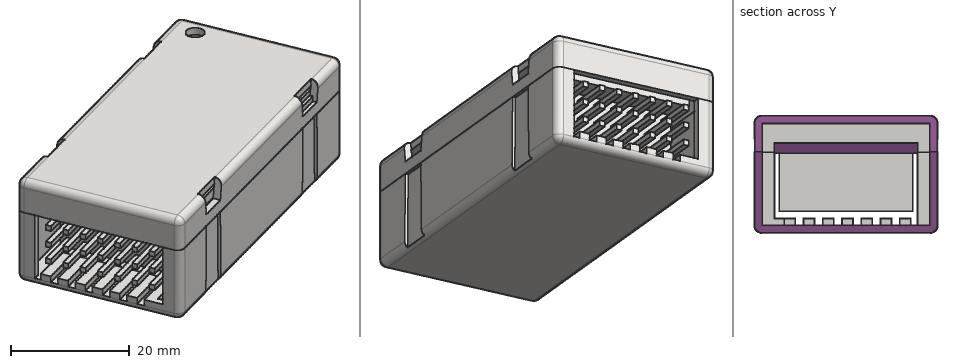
import cadquery as cq

LENGTH = 61.15
WIDTH = 30.9
HEIGHT = 19.8
WALL = 1.35
EDGE_RADIUS = WALL
PARTING_Z = 13.65
INNER_WIDTH = WIDTH - 2 * WALL
INNER_LENGTH = LENGTH - 2 * WALL
FRONT_Y = -LENGTH / 2

STATION_Y = 18.3
STATION_WIDTH = 5.25
WINDOW_TOP_WIDTH = 6.35
WINDOW_SILL_Z = 15.9
GROOVE_BOTTOM_WIDTH = 5.75
GROOVE_DEPTH = 0.55

STOP_HEIGHT = 1.0
STOP_THICKNESS = 0.6

HOLE_DIAMETER = 3.25
HOLE_X = -10.3
HOLE_Y = 26.65

BOARD_WIDTH = 24.2
BOARD_LENGTH = 54.55
BOARD_BOTTOM_Z = 13.45
BOARD_THICKNESS = 1.8

COLUMNS = 7
ROWS = 3
PITCH = 3.25
PIN_SIZE = 1.0
PIN_TIP_GAP = 0.3
MIDDLE_ROW_Z = 8.4
COLUMN_SHIFT_X = 0.1
HEADER_WIDTH = 22.5
HEADER_BOTTOM_Z = 3.65
HEADER_DEPTH = 6.1
HEADER_FRONT_Y = -22.5

OPENING_WIDTH = 24.05
SILL_Z = 2.5
RIB_WIDTH = 1.9
RIB_SHIFT_X = -0.35

COLUMN_XS = [COLUMN_SHIFT_X + (i - (COLUMNS - 1) / 2) * PITCH for i in range(COLUMNS)]
ROW_ZS = [MIDDLE_ROW_Z + (i - (ROWS - 1) / 2) * PITCH for i in range(ROWS)]


def block(x_min, x_max, y_min, y_max, z_min, z_max):
    """Axis-aligned block given by its limits."""
    size = (x_max - x_min, y_max - y_min, z_max - z_min)
    return cq.Workplane("XY").box(*size, centered=False).translate((x_min, y_min, z_min))


def shell_part(z_min, z_max):
    """Slice of the hollow rounded enclosure between two heights."""
    outer = cq.Workplane("XY").box(WIDTH, LENGTH, HEIGHT, centered=(True, True, False))
    outer = outer.edges().fillet(EDGE_RADIUS)
    cavity = block(-INNER_WIDTH / 2, INNER_WIDTH / 2, -INNER_LENGTH / 2, INNER_LENGTH / 2,
                   WALL, HEIGHT - WALL)
    slab = block(-WIDTH, WIDTH, -LENGTH, LENGTH, z_min, z_max)
    return outer.cut(cavity).intersect(slab)


def side_cutter(side, y, depth, z_bottom, bottom_width, z_top, top_width):
    """Tapered cutter that enters one long side (side = -1 or +1) by the given depth."""
    outline = [
        (y - bottom_width / 2, z_bottom),
        (y + bottom_width / 2, z_bottom),
        (y + top_width / 2, z_top),
        (y - top_width / 2, z_top),
    ]
    start_x = WIDTH / 2 - depth if side > 0 else -WIDTH / 2
    return cq.Workplane("YZ").workplane(offset=start_x).polyline(outline).close().extrude(depth)


def make_lid():
    lid = shell_part(PARTING_Z, HEIGHT)
    for side in (-1, 1):
        for y in (-STATION_Y, STATION_Y):
            lid = lid.cut(side_cutter(side, y, WALL, WINDOW_SILL_Z, STATION_WIDTH,
                                      HEIGHT, WINDOW_TOP_WIDTH))

    stop = block(INNER_WIDTH / 2, INNER_WIDTH / 2 + STOP_THICKNESS,
                 STATION_Y - STATION_WIDTH / 2, STATION_Y + STATION_WIDTH / 2,
                 WINDOW_SILL_Z, WINDOW_SILL_Z + STOP_HEIGHT)
    lid = lid.union(stop)

    hole = cq.Workplane("XY").workplane(offset=HEIGHT - WALL).center(HOLE_X, HOLE_Y)
    return lid.cut(hole.circle(HOLE_DIAMETER / 2).extrude(WALL))


def make_base():
    base = shell_part(0, PARTING_Z)
    for side in (-1, 1):
        for y in (-STATION_Y, STATION_Y):
            base = base.cut(side_cutter(side, y, GROOVE_DEPTH, 0, GROOVE_BOTTOM_WIDTH,
                                        PARTING_Z, STATION_WIDTH))

    inner_y = FRONT_Y + WALL
    sill_start_x = COLUMN_XS[-1] + RIB_SHIFT_X + RIB_WIDTH / 2
    base = base.cut(block(-OPENING_WIDTH / 2, OPENING_WIDTH / 2, FRONT_Y, inner_y, SILL_Z, PARTING_Z))
    base = base.cut(block(-OPENING_WIDTH / 2, sill_start_x, FRONT_Y, inner_y, WALL, SILL_Z))

    for column_x in COLUMN_XS:
        rib_x = column_x + RIB_SHIFT_X
        base = base.union(block(rib_x - RIB_WIDTH / 2, rib_x + RIB_WIDTH / 2,
                                FRONT_Y, HEADER_FRONT_Y, WALL, SILL_Z))
    return base


def make_board():
    return block(-BOARD_WIDTH / 2, BOARD_WIDTH / 2, -BOARD_LENGTH / 2, BOARD_LENGTH / 2,
                 BOARD_BOTTOM_Z, BOARD_BOTTOM_Z + BOARD_THICKNESS)


def make_header():
    header = block(-HEADER_WIDTH / 2, HEADER_WIDTH / 2, HEADER_FRONT_Y, HEADER_FRONT_Y + HEADER_DEPTH,
                   HEADER_BOTTOM_Z, BOARD_BOTTOM_Z)
    half_pin = PIN_SIZE / 2
    for x in COLUMN_XS:
        for z in ROW_ZS:
            header = header.union(block(x - half_pin, x + half_pin, FRONT_Y + PIN_TIP_GAP, HEADER_FRONT_Y,
                                        z - half_pin, z + half_pin))
    return header


lid = make_lid()
base = make_base()
board = make_board()
header = make_header()

result = cq.Compound.makeCompound([lid.val(), base.val(), board.val(), header.val()])